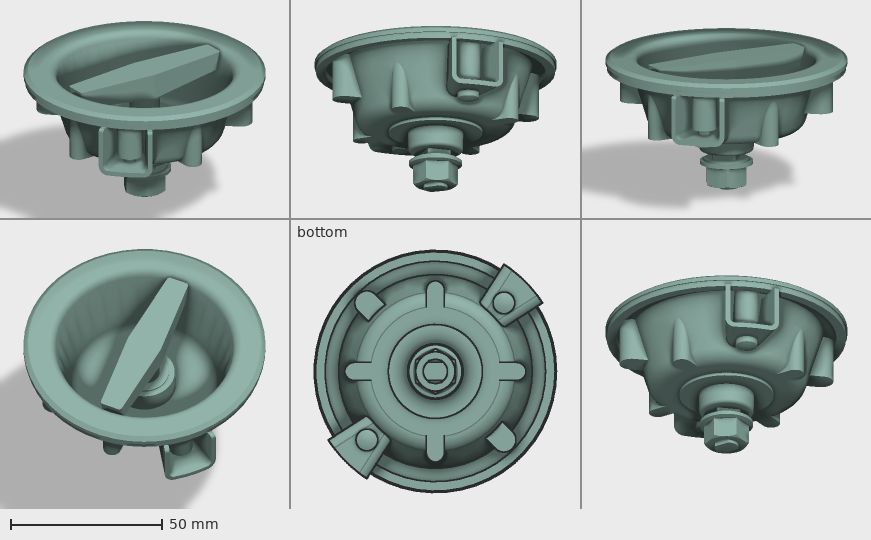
import cadquery as cq
import math


RIM_RADIUS = 40.0
RIM_CHAMFER_RUN = 1.5
RIM_CHAMFER_DROP = 1.0
RIM_BOTTOM = -2.4
GASKET_RADIUS = 39.5
GASKET_INNER_RADIUS = 36.4
GASKET_BOTTOM = -4.4

WALL_SLOPE = math.radians(17.0)
BOWL_BOTTOM = -24.5
FLOOR_THICKNESS = 2.0
FLOOR_TOP = BOWL_BOTTOM + FLOOR_THICKNESS
MOUTH_RADIUS = 32.2
MOUTH_ROUND = 3.0
FLOOR_RADIUS = 21.2
FLOOR_FILLET = 3.0
OUTER_FILLET = 5.0
OUTER_TOP_RADIUS = 32.0

POST_COUNT = 4
COLUMN_RADIUS = 4.0
COLUMN_DISTANCE = 32.0
COLUMN_BOTTOM = -17.0
RIB_RADIUS = 3.0
RIB_DISTANCE = 27.0
INNER_START = 20.0

BEARING_TOP = -15.7
BEARING_TOP_RADIUS = 10.0
BEARING_FLOOR_RADIUS = 10.3
BORE_RADIUS = 8.0
PAD_RADIUS = 15.5
PAD_THICKNESS = 1.0
PAD_BOTTOM = BOWL_BOTTOM - PAD_THICKNESS
NECK_TOP_RADIUS = 9.2
NECK_END_RADIUS = 9.0
NECK_BOTTOM = -31.9
NECK_FILLET = 1.0

GRIP_HALF_LENGTH = 28.5
GRIP_HALF_END_WIDTH = 3.7
GRIP_HUB_RADIUS = 5.9
GRIP_CORNER_RADIUS = 1.0
GRIP_END_DEPTH = 5.9
GRIP_HUB_DEPTH = 8.6
GRIP_END_LEAN = 1.4
STEM_RADIUS = 5.0
COLLAR_TOP = -15.2
SQUARE_SIDE = 8.0
SQUARE_CORNER_RADIUS = 5.4
THREAD_RADIUS = 4.0
THREAD_FLAT = 3.0
SPINDLE_END = -44.5

WASHER_TOP = -34.5
WASHER_THICKNESS = 0.7
WASHER_RADIUS = 7.5
FLANGE_TOP = WASHER_TOP - WASHER_THICKNESS
FLANGE_RADIUS = 8.8
FLANGE_THICKNESS = 1.1
FLANGE_TAPER = 0.5
FLANGE_TAPER_RADIUS = 7.1
NUT_BOTTOM = -43.4
NUT_WIDTH = 13.0
NUT_CHAMFER_DROP = 0.6
NUT_CHAMFER_RADIUS = 6.5

BRACKET_HALF_ANGLE = math.radians(12.4)
BRACKET_THICKNESS = 1.6
BRACKET_BOTTOM = -20.6
BRACKET_BEND = 3.2
BRACKET_END_RADIUS = 42.0
BRACKET_CORNER = 1.0
BRACKET_ANGLES = (135.0, 315.0)

SCREW_RADIUS = 2.0
HEAD_RADIUS = 3.6
HEAD_HEIGHT = 1.9
HEAD_DOME = 0.9
SCREW_TIP = -9.6


def turn(shape, angle):
    """Shape turned about the Z axis by an angle in degrees."""
    return shape.rotate((0, 0, 0), (0, 0, 1), angle)


def spin(profile):
    """Full revolution about Z of a closed profile drawn as (radius, height) on the XZ plane."""
    return profile.revolve(360, (0, 0, 0), (0, 1, 0))


def disc(radius, bottom, top):
    """Round disc about the Z axis."""
    return cq.Workplane("XY").workplane(offset=bottom).circle(radius).extrude(top - bottom)


def cone(bottom_radius, top_radius, bottom, top):
    """Truncated cone about the Z axis."""
    profile = cq.Workplane("XZ").moveTo(0, bottom).lineTo(bottom_radius, bottom)
    profile = profile.lineTo(top_radius, top).lineTo(0, top).close()
    return spin(profile)


def arc_points(radius, center_r, center_z, start, end):
    """Middle and end point of an arc running between two angles (radians)."""
    middle = (start + end) / 2
    return [(center_r + radius * math.cos(a), center_z + radius * math.sin(a)) for a in (middle, end)]


def bowl_wall_radius(z):
    """Radius of the outer bowl wall at a height."""
    return OUTER_TOP_RADIUS - (RIM_BOTTOM - z) * math.tan(WALL_SLOPE)


def bowl_body():
    """Rim and solid outside of the bowl."""
    fillet_z = BOWL_BOTTOM + OUTER_FILLET
    wall_end_z = fillet_z - OUTER_FILLET * math.sin(WALL_SLOPE)
    wall_end_r = bowl_wall_radius(wall_end_z)
    fillet_r = wall_end_r - OUTER_FILLET * math.cos(WALL_SLOPE)
    mid, end = arc_points(OUTER_FILLET, fillet_r, fillet_z, -WALL_SLOPE, -math.pi / 2)
    profile = (
        cq.Workplane("XZ")
        .moveTo(0, 0)
        .lineTo(RIM_RADIUS - RIM_CHAMFER_RUN, 0)
        .lineTo(RIM_RADIUS, -RIM_CHAMFER_DROP)
        .lineTo(RIM_RADIUS, RIM_BOTTOM)
        .lineTo(OUTER_TOP_RADIUS, RIM_BOTTOM)
        .lineTo(wall_end_r, wall_end_z)
        .threePointArc(mid, end)
        .lineTo(0, BOWL_BOTTOM)
        .close()
    )
    return spin(profile)


def bowl_cavity():
    """Space inside the bowl, with a rolled mouth and a filleted floor."""
    mouth_mid, mouth_end = arc_points(
        MOUTH_ROUND, MOUTH_RADIUS, -MOUTH_ROUND, math.pi / 2, math.pi - WALL_SLOPE
    )
    floor_center_z = FLOOR_TOP + FLOOR_FILLET
    wall_end = (
        FLOOR_RADIUS + FLOOR_FILLET * math.cos(WALL_SLOPE),
        floor_center_z - FLOOR_FILLET * math.sin(WALL_SLOPE),
    )
    floor_mid, floor_end = arc_points(
        FLOOR_FILLET, FLOOR_RADIUS, floor_center_z, -WALL_SLOPE, -math.pi / 2
    )
    profile = (
        cq.Workplane("XZ")
        .moveTo(0, 0)
        .lineTo(MOUTH_RADIUS, 0)
        .threePointArc(mouth_mid, mouth_end)
        .lineTo(*wall_end)
        .threePointArc(floor_mid, floor_end)
        .lineTo(0, FLOOR_TOP)
        .close()
    )
    return spin(profile)


def round_ended_post(radius, distance, bottom, angle):
    """Upright post with a round outer end and a web running inward, placed at an angle."""
    height = RIM_BOTTOM - bottom
    base = cq.Workplane("XY").workplane(offset=bottom)
    web_length = distance - INNER_START
    web = base.center(INNER_START + web_length / 2, 0).rect(web_length, 2 * radius).extrude(height)
    post = base.center(distance, 0).circle(radius).extrude(height)
    return turn(post.union(web), angle)


def screw_shank(bottom):
    """Shank of a bracket screw, placed on the X axis."""
    return disc(SCREW_RADIUS, bottom, SCREW_TIP).translate((COLUMN_DISTANCE, 0, 0))


def make_housing():
    """Rim, bowl, columns, ribs and spindle bearing."""
    body = bowl_body()
    pitch = 360 / POST_COUNT
    for index in range(POST_COUNT):
        angle = index * pitch
        body = body.union(round_ended_post(RIB_RADIUS, RIB_DISTANCE, BOWL_BOTTOM, angle))
        midway = angle + pitch / 2
        body = body.union(round_ended_post(COLUMN_RADIUS, COLUMN_DISTANCE, COLUMN_BOTTOM, midway))
    body = body.cut(bowl_cavity())

    neck = cone(NECK_END_RADIUS, NECK_TOP_RADIUS, NECK_BOTTOM, PAD_BOTTOM)
    neck = neck.faces("<Z").edges().fillet(NECK_FILLET)
    bearing = cone(BEARING_FLOOR_RADIUS, BEARING_TOP_RADIUS, FLOOR_TOP, BEARING_TOP)
    body = body.union(bearing).union(disc(PAD_RADIUS, PAD_BOTTOM, BOWL_BOTTOM)).union(neck)
    body = body.cut(disc(BORE_RADIUS, NECK_BOTTOM, BEARING_TOP))

    for angle in BRACKET_ANGLES:
        body = body.cut(turn(screw_shank(COLUMN_BOTTOM), angle))
    return body


def make_gasket():
    """Flat ring under the rim."""
    return disc(GASKET_RADIUS, GASKET_BOTTOM, RIM_BOTTOM).cut(
        disc(GASKET_INNER_RADIUS, GASKET_BOTTOM, RIM_BOTTOM))


def make_grip():
    """Tapered bar that is turned by hand, deepest over the spindle."""
    corner_distance = math.hypot(GRIP_HALF_END_WIDTH, GRIP_HALF_LENGTH)
    corner_angle = math.atan2(GRIP_HALF_LENGTH, GRIP_HALF_END_WIDTH)
    tangent_angle = corner_angle - math.acos(GRIP_HUB_RADIUS / corner_distance)
    tangent_x = GRIP_HUB_RADIUS * math.cos(tangent_angle)
    tangent_y = GRIP_HUB_RADIUS * math.sin(tangent_angle)
    outline = (
        cq.Workplane("XY")
        .moveTo(GRIP_HALF_END_WIDTH, -GRIP_HALF_LENGTH)
        .lineTo(tangent_x, -tangent_y)
        .threePointArc((GRIP_HUB_RADIUS, 0), (tangent_x, tangent_y))
        .lineTo(GRIP_HALF_END_WIDTH, GRIP_HALF_LENGTH)
        .lineTo(-GRIP_HALF_END_WIDTH, GRIP_HALF_LENGTH)
        .lineTo(-tangent_x, tangent_y)
        .threePointArc((-GRIP_HUB_RADIUS, 0), (-tangent_x, -tangent_y))
        .lineTo(-GRIP_HALF_END_WIDTH, -GRIP_HALF_LENGTH)
        .close()
    )
    bar = outline.extrude(-GRIP_HUB_DEPTH)

    lower_half_length = GRIP_HALF_LENGTH - GRIP_END_LEAN
    side = (
        cq.Workplane("YZ")
        .moveTo(-GRIP_HALF_LENGTH, 0)
        .lineTo(-lower_half_length, -GRIP_END_DEPTH)
        .lineTo(0, -GRIP_HUB_DEPTH)
        .lineTo(lower_half_length, -GRIP_END_DEPTH)
        .lineTo(GRIP_HALF_LENGTH, 0)
        .close()
        .extrude(2 * GRIP_HUB_RADIUS, both=True)
    )
    bar = bar.intersect(side)
    return bar.faces(">Y or <Y").edges("not |X").fillet(GRIP_CORNER_RADIUS)


def make_handle():
    """Grip with its spindle: stem, collar, square and flatted thread."""
    handle = make_grip()
    handle = handle.union(disc(STEM_RADIUS, COLLAR_TOP, -GRIP_END_DEPTH))
    handle = handle.union(disc(BORE_RADIUS, NECK_BOTTOM, COLLAR_TOP))
    square = cq.Workplane("XY").workplane(offset=WASHER_TOP).rect(SQUARE_SIDE, SQUARE_SIDE)
    square = turn(square.extrude(NECK_BOTTOM - WASHER_TOP), 45)
    handle = handle.union(square.intersect(disc(SQUARE_CORNER_RADIUS, WASHER_TOP, NECK_BOTTOM)))
    flats = cq.Workplane("XY").workplane(offset=SPINDLE_END).rect(2 * THREAD_RADIUS, 2 * THREAD_FLAT)
    flats = flats.extrude(WASHER_TOP - SPINDLE_END)
    return handle.union(flats.intersect(disc(THREAD_RADIUS, SPINDLE_END, WASHER_TOP)))


def make_washer():
    """Plain washer between the square and the nut."""
    return disc(WASHER_RADIUS, FLANGE_TOP, WASHER_TOP).cut(disc(THREAD_RADIUS, FLANGE_TOP, WASHER_TOP))


def make_nut():
    """Hexagon nut with an integral flange on top and a chamfered lower end."""
    corner_diameter = NUT_WIDTH / math.cos(math.radians(30))
    hexagon = cq.Workplane("XY").workplane(offset=NUT_BOTTOM).polygon(6, corner_diameter)
    hexagon = turn(hexagon.extrude(FLANGE_TOP - NUT_BOTTOM), 90)
    chamfer_top = NUT_BOTTOM + NUT_CHAMFER_DROP
    envelope = cone(NUT_CHAMFER_RADIUS, corner_diameter / 2, NUT_BOTTOM, chamfer_top)
    envelope = envelope.union(disc(corner_diameter / 2, chamfer_top, FLANGE_TOP))
    flange_edge = FLANGE_TOP - FLANGE_THICKNESS
    nut = hexagon.intersect(envelope).union(disc(FLANGE_RADIUS, flange_edge, FLANGE_TOP))
    nut = nut.union(cone(FLANGE_TAPER_RADIUS, FLANGE_RADIUS, flange_edge - FLANGE_TAPER, flange_edge))
    return nut.cut(disc(THREAD_RADIUS, NUT_BOTTOM, FLANGE_TOP))


def bracket_wedge(inset, bottom, bend):
    """Wedge with radial sides, moved inward by the inset, its lower side edges rounded."""
    inset_y = inset / math.cos(BRACKET_HALF_ANGLE)
    inner_y = INNER_START * math.tan(BRACKET_HALF_ANGLE) - inset_y
    outer_y = BRACKET_END_RADIUS * math.tan(BRACKET_HALF_ANGLE) - inset_y
    wedge = cq.Workplane("XY").workplane(offset=bottom).polyline([
        (INNER_START, -inner_y),
        (BRACKET_END_RADIUS, -outer_y),
        (BRACKET_END_RADIUS, outer_y),
        (INNER_START, inner_y),
    ]).close().extrude(GASKET_BOTTOM - bottom)
    return wedge.faces("<Z").edges("not |Y").fillet(bend)


def bracket_envelope():
    """Ring from the bowl wall to the bracket's outer end, with a rounded upper outer corner."""
    profile = (
        cq.Workplane("XZ")
        .moveTo(bowl_wall_radius(BRACKET_BOTTOM), BRACKET_BOTTOM)
        .lineTo(bowl_wall_radius(GASKET_BOTTOM), GASKET_BOTTOM)
        .lineTo(BRACKET_END_RADIUS - BRACKET_CORNER, GASKET_BOTTOM)
        .radiusArc((BRACKET_END_RADIUS, GASKET_BOTTOM - BRACKET_CORNER), BRACKET_CORNER)
        .lineTo(BRACKET_END_RADIUS, BRACKET_BOTTOM)
        .close()
    )
    return spin(profile)


def make_bracket(angle):
    """U-shaped clamping bracket with radial walls, fitted to the bowl and placed at an angle."""
    outer = bracket_wedge(0, BRACKET_BOTTOM, BRACKET_BEND)
    inner = bracket_wedge(
        BRACKET_THICKNESS, BRACKET_BOTTOM + BRACKET_THICKNESS, BRACKET_BEND - BRACKET_THICKNESS)
    bracket = outer.cut(inner).intersect(bracket_envelope()).cut(screw_shank(BRACKET_BOTTOM))
    return turn(bracket, angle)


def make_screw(angle):
    """Domed screw that holds a bracket to its column."""
    head_edge = BRACKET_BOTTOM - HEAD_HEIGHT
    dome_radius = (HEAD_RADIUS ** 2 + HEAD_DOME ** 2) / (2 * HEAD_DOME)
    profile = (
        cq.Workplane("XZ")
        .moveTo(0, BRACKET_BOTTOM)
        .lineTo(HEAD_RADIUS, BRACKET_BOTTOM)
        .lineTo(HEAD_RADIUS, head_edge)
        .radiusArc((0, head_edge - HEAD_DOME), dome_radius)
        .close()
    )
    head = spin(profile).translate((COLUMN_DISTANCE, 0, 0))
    return turn(head.union(screw_shank(BRACKET_BOTTOM)), angle)


housing = make_housing()
gasket = make_gasket()
handle = make_handle()
washer = make_washer()
nut = make_nut()
brackets = [make_bracket(angle) for angle in BRACKET_ANGLES]
screws = [make_screw(angle) for angle in BRACKET_ANGLES]

result = cq.Compound.makeCompound([
    housing.val(),
    gasket.val(),
    handle.val(),
    washer.val(),
    nut.val(),
    *[bracket.val() for bracket in brackets],
    *[screw.val() for screw in screws],
])